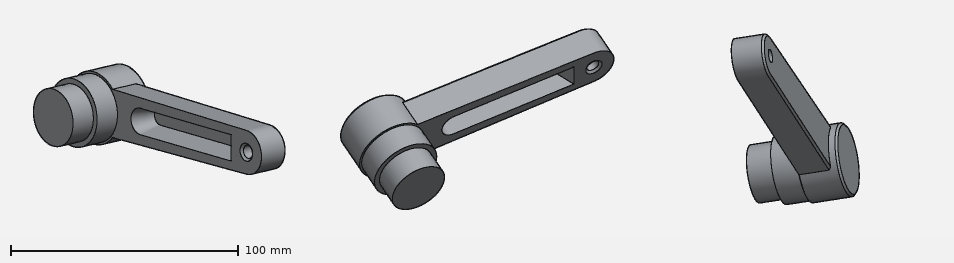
import cadquery as cq
import math


hub_diameter = 33.0
hub_length = 19.0
collar_diameter = 31.0
collar_length = 12.0
spigot_diameter = 26.0
spigot_length = 12.0
hub_edge_chamfer = 1.0

overall_length = 126.5
arm_thickness = 14.9
arm_end_radius = 10.0
arm_root_half_height = 11.0
arm_root_x = 12.4
arm_edge_chamfer = 1.0
arm_end_x = overall_length - hub_diameter / 2 - arm_end_radius

hole_diameter = 6.0
countersink_diameter = 8.1
countersink_angle = 45.0
countersink_step = (countersink_diameter - hole_diameter) / 2
countersink_depth = countersink_step / math.tan(math.radians(countersink_angle))

pocket_width = 12.0
pocket_left_x = 24.4
pocket_right_x = 90.1
pocket_depth = 12.0
pocket_wall_draft = 10.0
pocket_ramp_angle = 30.0


def cylinder_forward(diameter, start_y, length):
    """Cylinder on the hub axis running from start_y towards -Y."""
    return cq.Workplane("XZ", origin=(0, start_y, 0)).circle(diameter / 2).extrude(length)


def make_hub():
    """Hub, collar and spigot stacked towards the front."""
    body = cylinder_forward(hub_diameter, hub_length, hub_length)
    body = body.faces(">Y").edges().chamfer(hub_edge_chamfer)
    collar = cylinder_forward(collar_diameter, 0, collar_length)
    spigot = cylinder_forward(spigot_diameter, -collar_length, spigot_length)
    return body.union(collar).union(spigot)


def make_arm():
    """Tapered arm with a rounded end and a chamfered back edge."""
    root_to_end = arm_end_x - arm_root_x
    root_distance = math.hypot(root_to_end, arm_root_half_height)
    taper = math.atan2(arm_root_half_height, root_to_end) - math.asin(arm_end_radius / root_distance)
    tangent_x = arm_end_x + arm_end_radius * math.sin(taper)
    tangent_z = arm_end_radius * math.cos(taper)
    axis_half_height = arm_root_half_height + arm_root_x * math.tan(taper)
    arm = (
        cq.Workplane("XZ")
        .moveTo(0, -axis_half_height)
        .lineTo(tangent_x, -tangent_z)
        .threePointArc((arm_end_x + arm_end_radius, 0), (tangent_x, tangent_z))
        .lineTo(0, axis_half_height)
        .close()
        .extrude(-arm_thickness)
    )
    return arm.faces(">Y").edges("not <X").chamfer(arm_edge_chamfer)


def make_pocket():
    """Pocket with drafted sides, a rounded left end and a sloping right end."""
    half_width = pocket_width / 2
    arc_center_x = pocket_left_x + half_width
    slot_right_x = pocket_right_x + pocket_width
    slot = (
        cq.Workplane("XZ")
        .moveTo(slot_right_x, -half_width)
        .lineTo(arc_center_x, -half_width)
        .threePointArc((pocket_left_x, 0), (arc_center_x, half_width))
        .lineTo(slot_right_x, half_width)
        .close()
        .extrude(-pocket_depth, taper=pocket_wall_draft)
    )
    ramp_run = pocket_depth * math.tan(math.radians(pocket_ramp_angle))
    ramp_limit = (
        cq.Workplane("XY")
        .moveTo(pocket_left_x, 0)
        .lineTo(pocket_right_x, 0)
        .lineTo(pocket_right_x - ramp_run, pocket_depth)
        .lineTo(pocket_left_x, pocket_depth)
        .close()
        .extrude(half_width, both=True)
    )
    return slot.intersect(ramp_limit)


def make_hole():
    """Hole through the arm with a countersink in the front face."""
    front_face = cq.Workplane("XZ", origin=(arm_end_x, 0, 0))
    hole = front_face.circle(hole_diameter / 2).extrude(-arm_thickness)
    countersink = front_face.circle(countersink_diameter / 2).extrude(
        -countersink_depth, taper=countersink_angle
    )
    return hole.union(countersink)


result = make_hub().union(make_arm()).cut(make_pocket()).cut(make_hole())